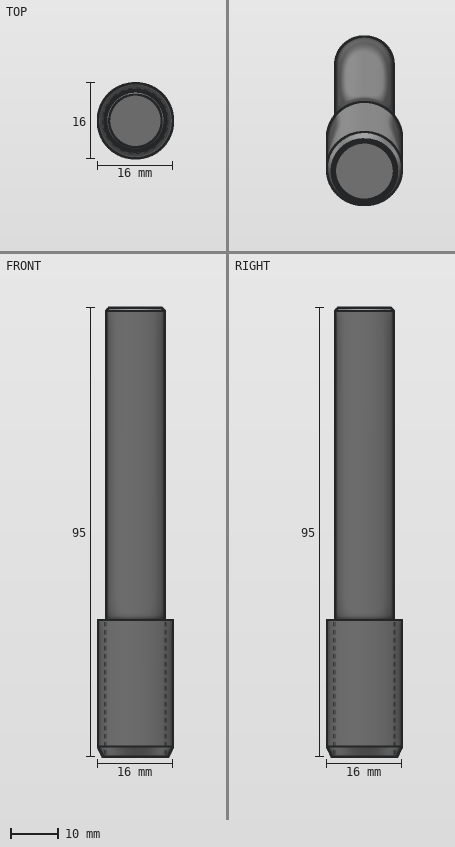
import cadquery as cq

total_height = 95.0
sleeve_height = 29.0
sleeve_diameter = 16.0
pin_diameter = 12.4
bore_diameter = 13.0

pin_chamfer = 0.7
sleeve_chamfer_height = 2.2
sleeve_chamfer_width = 1.0


def make_pin():
    """Straight round pin with a chamfered top edge, running the full height."""
    return (
        cq.Workplane("XY")
        .circle(pin_diameter / 2)
        .extrude(total_height)
        .faces(">Z")
        .chamfer(pin_chamfer)
    )


def make_sleeve():
    """Round sleeve with a tapered lower edge, bored right through with clearance around the pin."""
    outer_radius = sleeve_diameter / 2
    bore_radius = bore_diameter / 2
    return (
        cq.Workplane("XZ")
        .moveTo(bore_radius, 0)
        .lineTo(outer_radius - sleeve_chamfer_width, 0)
        .lineTo(outer_radius, sleeve_chamfer_height)
        .lineTo(outer_radius, sleeve_height)
        .lineTo(bore_radius, sleeve_height)
        .close()
        .revolve(360, (0, 0, 0), (0, 1, 0))
    )


pin = make_pin()
sleeve = make_sleeve()

result = cq.Compound.makeCompound([pin.val(), sleeve.val()])